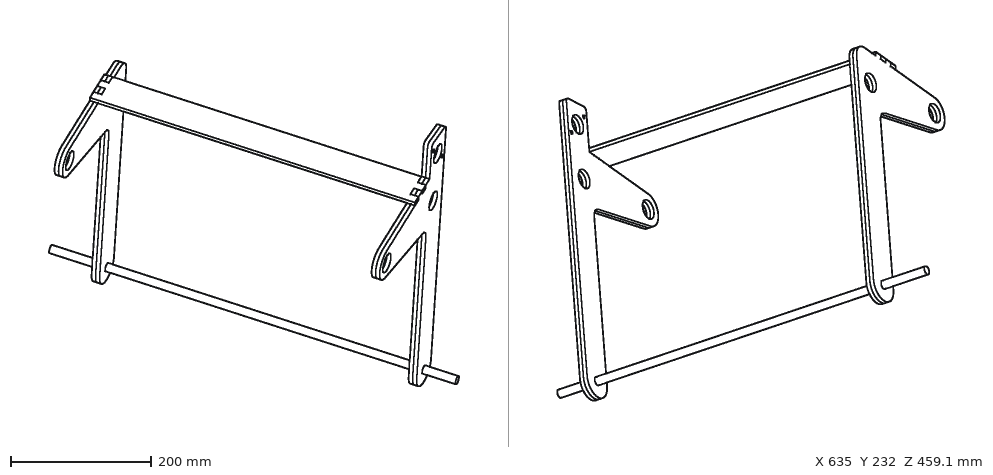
import cadquery as cq
import math


rod_length = 635.0
rod_diameter = 13.0
rod_overhang = 75.0

frame_width = 508.0
plate_thickness = 6.5
plates_per_side = 2
arm_half_width = 25.5
arm_tilt = math.radians(7.0)

nose_hole_y = -129.0
nose_hole_z = 340.5
nose_radius = 25.5
nose_slope = math.radians(14.2)
shoulder_radius = 20.0
throat_radius = 15.0

large_hole_diameter = 28.5
elbow_hole_y = 32.5
elbow_hole_z = 315.5

tall_arm_length = 434.5
tip_hole_distance = 400.0
tip_corner_radius = 6.5
screw_hole_diameter = 5.0
screw_hole_offset = 18.0

bar_width = 51.0
bar_back = 20.0
bar_thickness = 6.5
tab_width = bar_width / 4

plate_top = nose_hole_z + nose_radius
pair_thickness = plates_per_side * plate_thickness
frame_left = -frame_width / 2
bar_bottom = plate_top
joint_overlap = 6.5


def on_arm(along, across):
    """Y, Z of a point given along the tilted arm axis and across it toward +Y."""
    y = along * math.sin(arm_tilt) + across * math.cos(arm_tilt)
    z = along * math.cos(arm_tilt) - across * math.sin(arm_tilt)
    return y, z


def arm_edge_y(z, across):
    """Y of the arm edge at the given offset, at height z."""
    return z * math.tan(arm_tilt) + across / math.cos(arm_tilt)


def disc(y, z, diameter):
    """Plate-thick disc on the plane X = 0."""
    return cq.Workplane("YZ").center(y, z).circle(diameter / 2).extrude(plate_thickness)


def block(y_min, y_max, z_min, z_max, x_min, x_max):
    size = (x_max - x_min, y_max - y_min, z_max - z_min)
    return cq.Workplane("XY").box(*size, centered=False).translate((x_min, y_min, z_min))


def bent_profile():
    """Arm with a rounded foot and a nose, as a plate with sharp shoulder and throat."""
    nose_bottom_y = nose_hole_y - nose_radius * math.sin(nose_slope)
    nose_bottom_z = nose_hole_z - nose_radius * math.cos(nose_slope)
    front_edge_at_zero = arm_edge_y(0, -arm_half_width)
    throat_z = (nose_bottom_z - math.tan(nose_slope) * (front_edge_at_zero - nose_bottom_y)) / (
        1 + math.tan(nose_slope) * math.tan(arm_tilt)
    )
    throat = (arm_edge_y(throat_z, -arm_half_width), throat_z)
    shoulder = (arm_edge_y(plate_top, arm_half_width), plate_top)
    plate = (
        cq.Workplane("YZ")
        .moveTo(*on_arm(0, arm_half_width))
        .lineTo(*shoulder)
        .lineTo(nose_hole_y, plate_top)
        .threePointArc((nose_hole_y - nose_radius, nose_hole_z), (nose_bottom_y, nose_bottom_z))
        .lineTo(*throat)
        .lineTo(*on_arm(0, -arm_half_width))
        .threePointArc(on_arm(-arm_half_width, 0), on_arm(0, arm_half_width))
        .close()
        .extrude(plate_thickness)
    )
    return plate, shoulder, throat


def round_corner(plate, corner, radius):
    """Fillet the edge along X that passes through the given Y, Z corner."""
    nearest = cq.selectors.NearestToPointSelector((plate_thickness / 2, *corner))
    return plate.edges("|X").edges(nearest).fillet(radius)


def add_tabs(plate):
    """Two tabs on the plate top, spaced one tab width apart."""
    for index in range(2):
        tab_back = bar_back - 2 * index * tab_width
        tab = block(
            tab_back - tab_width, tab_back,
            plate_top - joint_overlap, plate_top + bar_thickness,
            0, plate_thickness,
        )
        plate = plate.union(tab)
    return plate


def short_plate():
    plate, shoulder, throat = bent_profile()
    plate = round_corner(plate, throat, throat_radius)
    plate = round_corner(plate, shoulder, shoulder_radius)
    plate = add_tabs(plate)
    plate = plate.cut(disc(0, 0, rod_diameter))
    plate = plate.cut(disc(elbow_hole_y, elbow_hole_z, large_hole_diameter))
    return plate.cut(disc(nose_hole_y, nose_hole_z, large_hole_diameter))


def arm_extension():
    """Straight arm from the elbow hole level to the tip, with rounded tip corners."""
    tip_corners = [on_arm(tall_arm_length, side * arm_half_width) for side in (-1, 1)]
    base = [(arm_edge_y(elbow_hole_z, side * arm_half_width), elbow_hole_z) for side in (1, -1)]
    extension = cq.Workplane("YZ").polyline(tip_corners + base).close().extrude(plate_thickness)
    for corner in tip_corners:
        extension = round_corner(extension, corner, tip_corner_radius)
    return extension


def tall_plate():
    wedge = block(
        bar_back, bar_back + joint_overlap,
        plate_top - joint_overlap, plate_top + bar_thickness,
        0, plate_thickness,
    )
    plate = short_plate().union(arm_extension()).union(wedge)
    plate = plate.cut(disc(elbow_hole_y, elbow_hole_z, large_hole_diameter))
    plate = plate.cut(disc(*on_arm(tip_hole_distance, 0), large_hole_diameter))
    for side in (-1, 1):
        shift = side * screw_hole_offset
        plate = plate.cut(disc(*on_arm(tip_hole_distance + shift, -shift), screw_hole_diameter))
    return plate


def cross_bar():
    """Flat bar whose ends are notched for the tabs of both plate pairs."""
    bar_top = bar_bottom + bar_thickness
    bar = block(bar_back - bar_width, bar_back, bar_bottom, bar_top, frame_left, -frame_left)
    for end in (frame_left, -frame_left - pair_thickness):
        for index in range(2):
            notch_back = bar_back - 2 * index * tab_width
            notch = block(
                notch_back - tab_width, notch_back, bar_bottom, bar_top, end, end + pair_thickness
            )
            bar = bar.cut(notch)
    return bar


def plate_pair(plate, x_start):
    return [
        plate.translate((x_start + index * plate_thickness, 0, 0)).val()
        for index in range(plates_per_side)
    ]


short_plates = plate_pair(short_plate(), frame_left)
tall_plates = plate_pair(tall_plate(), -frame_left - pair_thickness)
bar = cross_bar()
rod = (
    cq.Workplane("YZ", origin=(frame_left - rod_overhang, 0, 0))
    .circle(rod_diameter / 2)
    .extrude(rod_length)
)

result = cq.Compound.makeCompound([*short_plates, *tall_plates, bar.val(), rod.val()])